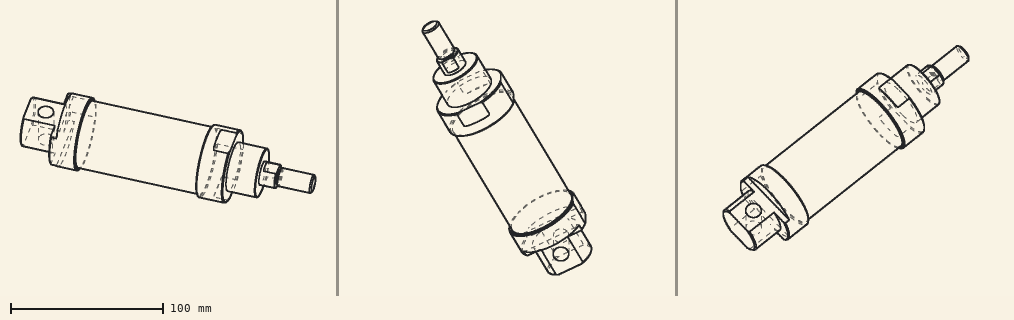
import cadquery as cq


tang_length = 22.0
rear_shoulder_x = 26.0
rear_cap_end = 40.0
front_cap_start = 122.6
port_flat_start = 130.0
front_cap_end = 141.0
nose_end = 161.0
wrench_flat_start = 163.0
collar_end = 171.8
thread_start = 173.0
rod_end = 196.0

cap_diameter = 49.0
cap_chamfer = 0.7
side_flat_y = 23.3
port_flat_thickness = 45.2
port_flat_fillet = 0.8

tang_diameter = 33.0
tang_thickness = 26.4
tang_chamfer = 0.8
pivot_hole_diameter = 10.2
pivot_hole_x = 12.8

nose_diameter = tang_diameter
nose_chamfer = 0.5

barrel_diameter = 45.2

collar_diameter = 16.0
collar_chamfer = 0.4
wrench_thickness = 13.7
wrench_flat_fillet = 0.6
neck_diameter = 10.0
thread_diameter = 12.4
thread_chamfer = 1.0


def cylinder(start, end, diameter):
    """Round bar along X from start to end."""
    return cq.Workplane("YZ", origin=(start, 0, 0)).circle(diameter / 2).extrude(end - start)


def block(start, end, width, bottom, top):
    """Box from start to end in X and bottom to top in Z, centred in Y."""
    base = cq.Workplane("XY", origin=((start + end) / 2, 0, bottom))
    return base.rect(end - start, width).extrude(top - bottom)


def cut_upper_and_lower_flats(body, start, end, thickness):
    """Trim the body to the given thickness in Z between start and end."""
    cutter = block(start, end, cap_diameter, thickness / 2, cap_diameter)
    return body.cut(cutter).cut(cutter.mirror("XY"))


def cut_filleted_flats(body, start, end, thickness, root_fillet):
    """Trim the body as above, with a fillet where each flat meets its step at start."""
    cutter = block(start, end, cap_diameter, thickness / 2, cap_diameter)
    cutter = cutter.faces("<X").edges("<Z").fillet(root_fillet)
    return body.cut(cutter).cut(cutter.mirror("XY"))


def make_cap_disc(start, end):
    """Cap disc with chamfered rims and one flat along its +Y side."""
    disc = cylinder(start, end, cap_diameter).faces("<X or >X").chamfer(cap_chamfer)
    keep_width = 2 * side_flat_y
    beyond_flat = block(start, end, keep_width, -cap_diameter, cap_diameter)
    return disc.cut(beyond_flat.translate((0, keep_width, 0)))


def make_rear_cap():
    """Rear end cap with its flattened tang and cross pivot hole."""
    tang = cylinder(0, tang_length, tang_diameter).faces("<X").chamfer(tang_chamfer)
    cap = make_cap_disc(tang_length, rear_cap_end).union(tang)
    cap = cut_upper_and_lower_flats(cap, 0, rear_shoulder_x, tang_thickness)
    hole = cq.Workplane("XY").circle(pivot_hole_diameter / 2).extrude(tang_thickness, both=True)
    return cap.cut(hole.translate((pivot_hole_x, 0, 0)))


def make_barrel():
    """Plain barrel between the two caps."""
    return cylinder(rear_cap_end, front_cap_start, barrel_diameter)


def make_front_cap():
    """Front end cap with upper and lower port flats and a round nose."""
    cap = make_cap_disc(front_cap_start, front_cap_end)
    cap = cut_filleted_flats(cap, port_flat_start, front_cap_end, port_flat_thickness, port_flat_fillet)
    nose = cylinder(front_cap_end, nose_end, nose_diameter).faces(">X").chamfer(nose_chamfer)
    return cap.union(nose)


def make_rod():
    """Exposed piston rod: collar with wrench flats, relief neck and thread shank."""
    collar = cylinder(nose_end, collar_end, collar_diameter).faces(">X").chamfer(collar_chamfer)
    collar = cut_filleted_flats(collar, wrench_flat_start, collar_end, wrench_thickness, wrench_flat_fillet)
    neck = cylinder(collar_end, thread_start, neck_diameter)
    shank = cylinder(thread_start, rod_end, thread_diameter).faces(">X").chamfer(thread_chamfer)
    return collar.union(neck).union(shank)


rear_cap = make_rear_cap()
barrel = make_barrel()
front_cap = make_front_cap()
rod = make_rod()

bodies = [rear_cap, barrel, front_cap, rod]
result = cq.Compound.makeCompound([body.solids().val() for body in bodies])